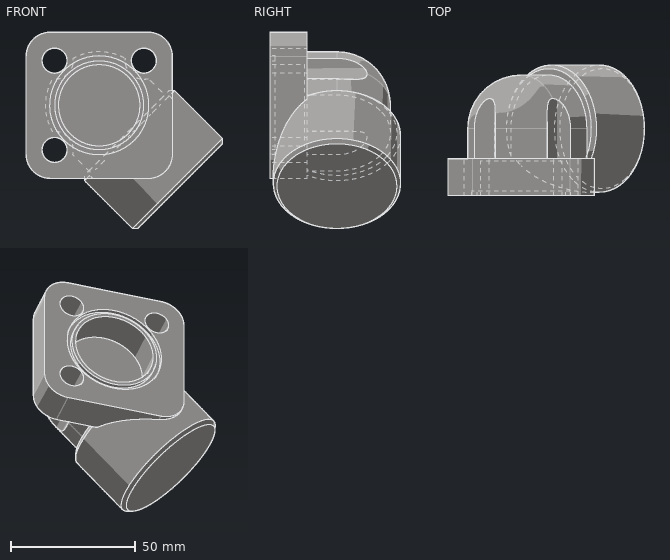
import cadquery as cq
import math

flange_side = 59.0
flange_thickness = 15.0
flange_corner_radius = 9.8
bolt_offset = 18.0
bolt_hole_diameter = 10.0
bolt_corners = [(-1, 1), (1, 1), (-1, -1)]

bore_radius = 16.4
bore_depth = 14.0
groove_inner_radius = 17.9
groove_outer_radius = 20.0
groove_depth = 2.0

body_radius = 21.6
elbow_y = 27.0
bolt_clearance_radius = 7.5
collar_radius = 25.7
collar_start = 15.8
collar_end = 46.1
collar_chamfer = 1.5

outlet_angle = 45
outlet_radians = math.radians(outlet_angle)
outlet_direction = cq.Vector(math.cos(outlet_radians), 0, -math.sin(outlet_radians))
elbow_center = cq.Vector(0, elbow_y, 0)


def cylinder_along_y(x, z, radius, y_start, y_end):
    """Cylinder parallel to Y between two Y positions."""
    solid = cq.Solid.makeCylinder(radius, y_end - y_start, cq.Vector(x, y_start, z), cq.Vector(0, 1, 0))
    return cq.Workplane(obj=solid)


def outlet_cylinder(radius, start, end):
    """Cylinder on the outlet axis, between two distances from the elbow centre."""
    base = elbow_center + outlet_direction * start
    return cq.Workplane(obj=cq.Solid.makeCylinder(radius, end - start, base, outlet_direction))


def make_flange():
    return (
        cq.Workplane("XZ")
        .rect(flange_side, flange_side)
        .extrude(-flange_thickness)
        .edges("|Y")
        .fillet(flange_corner_radius)
    )


def make_body():
    """D-shaped barrel, flat towards the outlet, under a dome and round neck, with bolt clearances."""
    barrel = (
        cq.Workplane("XZ")
        .moveTo(0, body_radius)
        .lineTo(collar_start, body_radius)
        .lineTo(collar_start, -body_radius)
        .lineTo(0, -body_radius)
        .threePointArc((-body_radius, 0), (0, body_radius))
        .close()
        .extrude(-elbow_y)
        .rotate((0, 0, 0), (0, 1, 0), outlet_angle)
    )
    dome = cq.Workplane("XY").sphere(body_radius).translate(elbow_center)
    neck = outlet_cylinder(body_radius, 0, collar_end)
    body = barrel.union(dome).union(neck)
    for x_sign, z_sign in bolt_corners:
        clearance = cylinder_along_y(
            x_sign * bolt_offset,
            z_sign * bolt_offset,
            bolt_clearance_radius,
            flange_thickness,
            elbow_y + body_radius,
        )
        body = body.cut(clearance)
    return body


def make_collar():
    return outlet_cylinder(collar_radius, collar_start, collar_end).edges("%CIRCLE").chamfer(collar_chamfer)


def make_groove():
    outer = cylinder_along_y(0, 0, groove_outer_radius, 0, groove_depth)
    return outer.cut(cylinder_along_y(0, 0, groove_inner_radius, 0, groove_depth))


result = make_body().union(make_collar()).union(make_flange())
result = result.cut(cylinder_along_y(0, 0, bore_radius, 0, bore_depth)).cut(make_groove())
for x_sign, z_sign in bolt_corners:
    bolt_hole = cylinder_along_y(
        x_sign * bolt_offset, z_sign * bolt_offset, bolt_hole_diameter / 2, 0, flange_thickness
    )
    result = result.cut(bolt_hole)